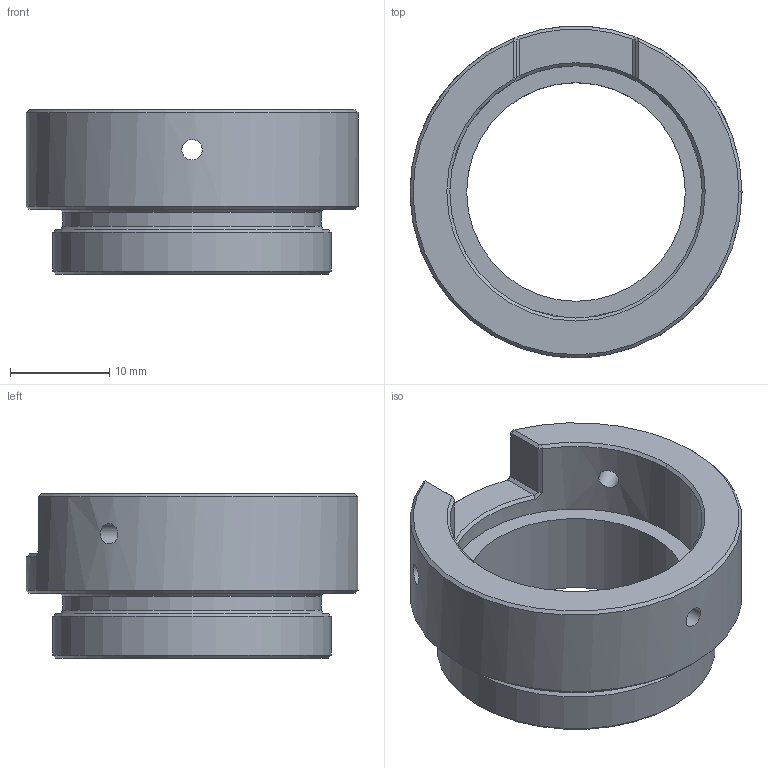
import cadquery as cq
import math

TOTAL_HEIGHT = 16.5
COLLAR_HEIGHT = 10.0
FLANGE_HEIGHT = 4.5
COLLAR_BOTTOM = TOTAL_HEIGHT - COLLAR_HEIGHT

COLLAR_RADIUS = 16.7
FLANGE_RADIUS = 14.0
GROOVE_RADIUS = 13.0
COUNTERBORE_RADIUS = 12.7
BORE_RADIUS = 11.0

COUNTERBORE_DEPTH = 8.0
COUNTERBORE_FLOOR = TOTAL_HEIGHT - COUNTERBORE_DEPTH

CHAMFER = 0.3

NOTCH_WIDTH = 12.0
NOTCH_DEPTH = 6.0
NOTCH_FLOOR = TOTAL_HEIGHT - NOTCH_DEPTH

HOLE_DIAMETER = 2.05
HOLE_COUNT = 3
FIRST_HOLE_ANGLE = -90.0
HOLE_HEIGHT = 12.5


def turned_body():
    """Revolve the ring section: bore, flange, groove and collar."""
    section = (
        cq.Workplane("XZ")
        .moveTo(BORE_RADIUS, 0)
        .lineTo(FLANGE_RADIUS - CHAMFER, 0)
        .lineTo(FLANGE_RADIUS, CHAMFER)
        .lineTo(FLANGE_RADIUS, FLANGE_HEIGHT - CHAMFER)
        .lineTo(FLANGE_RADIUS - CHAMFER, FLANGE_HEIGHT)
        .lineTo(GROOVE_RADIUS + CHAMFER, FLANGE_HEIGHT)
        .lineTo(GROOVE_RADIUS, FLANGE_HEIGHT + CHAMFER)
        .lineTo(GROOVE_RADIUS, COLLAR_BOTTOM - CHAMFER)
        .lineTo(GROOVE_RADIUS + CHAMFER, COLLAR_BOTTOM)
        .lineTo(COLLAR_RADIUS - CHAMFER, COLLAR_BOTTOM)
        .lineTo(COLLAR_RADIUS, COLLAR_BOTTOM + CHAMFER)
        .lineTo(COLLAR_RADIUS, TOTAL_HEIGHT)
        .lineTo(COUNTERBORE_RADIUS, TOTAL_HEIGHT)
        .lineTo(COUNTERBORE_RADIUS, COUNTERBORE_FLOOR)
        .lineTo(BORE_RADIUS, COUNTERBORE_FLOOR)
        .close()
    )
    return section.revolve(360, (0, 0, 0), (0, 1, 0))


def notch_cutter():
    """Block running from the axis out through the +Y wall of the collar."""
    return cq.Workplane("XY", origin=(0, 0, NOTCH_FLOOR)).box(
        NOTCH_WIDTH, COLLAR_RADIUS, NOTCH_DEPTH, centered=(True, False, False)
    )


def chamfer_top_and_notch(body):
    """Chamfer the top rim and every notch edge together, so that the corners are mitered."""
    reach = COLLAR_RADIUS + CHAMFER
    above_notch_floor = cq.selectors.BoxSelector(
        (-reach, -reach, NOTCH_FLOOR - CHAMFER),
        (reach, reach, TOTAL_HEIGHT + CHAMFER),
        boundingbox=True,
    )
    return body.edges(above_notch_floor).chamfer(CHAMFER)


def radial_hole(angle):
    """Cylinder from the axis outward through the collar wall."""
    direction = cq.Vector(math.cos(math.radians(angle)), math.sin(math.radians(angle)), 0)
    start = cq.Vector(0, 0, HOLE_HEIGHT)
    return cq.Solid.makeCylinder(HOLE_DIAMETER / 2, COLLAR_RADIUS, start, direction)


result = chamfer_top_and_notch(turned_body().cut(notch_cutter()))
for index in range(HOLE_COUNT):
    angle = FIRST_HOLE_ANGLE + index * 360 / HOLE_COUNT
    result = result.cut(cq.Workplane(radial_hole(angle)))